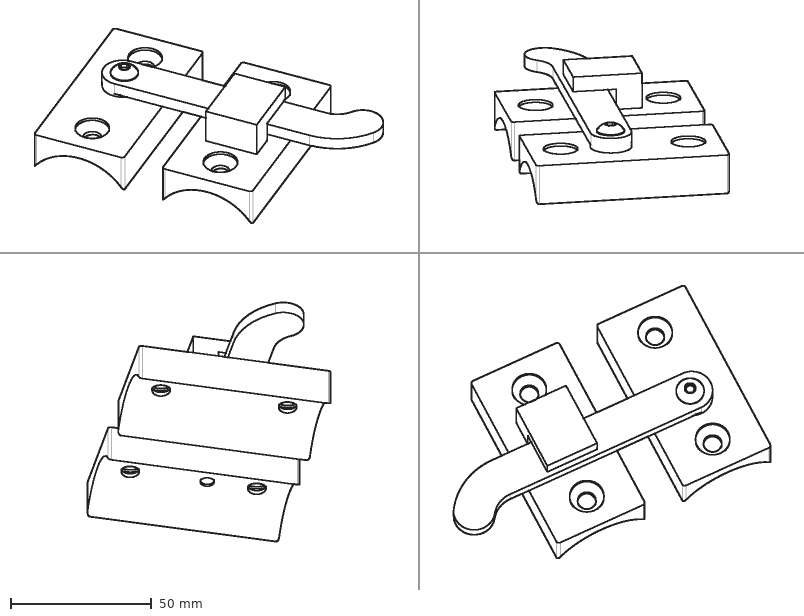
import cadquery as cq
import math

overall_length = 114.3

base_width = 35.0
base_length = 70.0
base_middle_thickness = 5.3
base_spacing = 50.0
base_corner_radius = 1.0
saddle_diameter = 42.4
saddle_radius = saddle_diameter / 2

saddle_axis_z = -math.sqrt(saddle_radius**2 - (base_width / 2) ** 2)
base_height = saddle_axis_z + saddle_radius + base_middle_thickness

mount_hole_offset = 23.1
mount_hole_diameter = 6.5
countersink_diameter = 12.2
countersink_rim_depth = 1.0
countersink_cone_depth = (countersink_diameter - mount_hole_diameter) / 2

lever_width = 14.7
lever_radius = lever_width / 2
lever_thickness = 4.5
lever_clearance = 1.0
lever_axis_y = 5.0
lever_end_x = 16.8
bend_start_x = 92.7
bend_radius = 17.3
bend_angle = math.asin((overall_length - lever_radius - bend_start_x) / bend_radius)
lever_bottom_z = base_height + lever_clearance
lever_top_z = lever_bottom_z + lever_thickness

screw_x = base_width / 2
screw_head_diameter = 10.0
screw_head_height = 2.7
screw_head_rim_height = 0.3
screw_head_flat_diameter = 4.0
screw_shank_diameter = 5.0
screw_depth_in_base = 4.6
socket_across_flats = 3.2
socket_depth = 1.4
socket_cone_depth = 0.9

catch_width = 19.8
catch_length = 24.9
catch_height = 13.0
catch_front_y = -13.6
catch_post_thickness = 9.3
catch_top_thickness = 5.5
catch_center_x = base_spacing + base_width / 2


def make_base(left_x):
    """Block with rounded upright edges, a saddle along Y and two countersunk holes."""
    center_x = left_x + base_width / 2
    block = (
        cq.Workplane("XY")
        .center(center_x, 0)
        .rect(base_width, base_length)
        .extrude(base_height)
        .edges("|Z")
        .fillet(base_corner_radius)
    )
    saddle = (
        cq.Workplane("XZ")
        .center(center_x, saddle_axis_z)
        .circle(saddle_radius)
        .extrude(base_length / 2, both=True)
    )
    base = block.cut(saddle)
    for hole_y in (-mount_hole_offset, mount_hole_offset):
        base = base.cut(make_mount_hole(center_x, hole_y))
    return base


def make_mount_hole(x, y):
    """Cutter for a through hole with a conical countersink below a short straight rim."""
    cone_top_z = base_height - countersink_rim_depth
    cone_bottom_z = cone_top_z - countersink_cone_depth
    hole_radius = mount_hole_diameter / 2
    rim_radius = countersink_diameter / 2
    profile = (
        cq.Workplane("XZ")
        .moveTo(0, 0)
        .lineTo(hole_radius, 0)
        .lineTo(hole_radius, cone_bottom_z)
        .lineTo(rim_radius, cone_top_z)
        .lineTo(rim_radius, base_height)
        .lineTo(0, base_height)
        .close()
    )
    return profile.revolve(360, (0, 0, 0), (0, 1, 0)).translate((x, y, 0))


def make_shank_hole(bottom_z, top_z):
    """Cutter for the pivot screw's shank between two heights."""
    return (
        cq.Workplane("XY", origin=(screw_x, lever_axis_y, bottom_z))
        .circle(screw_shank_diameter / 2)
        .extrude(top_z - bottom_z)
    )


def bend_point(radius, angle):
    """Point on an arc about the bend centre, at an angle turned from straight down."""
    center_y = lever_axis_y + bend_radius
    return (bend_start_x + radius * math.sin(angle), center_y - radius * math.cos(angle))


def make_lever():
    """Bar with one rounded end, a circular bend and a rounded tip; all arcs run tangent."""
    outer_radius = bend_radius + lever_radius
    inner_radius = bend_radius - lever_radius
    tip_center_x, tip_center_y = bend_point(bend_radius, bend_angle)
    tip = (
        tip_center_x + lever_radius * math.cos(bend_angle),
        tip_center_y + lever_radius * math.sin(bend_angle),
    )
    bar = (
        cq.Workplane("XY", origin=(0, 0, lever_bottom_z))
        .moveTo(lever_end_x, lever_axis_y - lever_radius)
        .lineTo(*bend_point(outer_radius, 0))
        .threePointArc(bend_point(outer_radius, bend_angle / 2), bend_point(outer_radius, bend_angle))
        .threePointArc(tip, bend_point(inner_radius, bend_angle))
        .threePointArc(bend_point(inner_radius, bend_angle / 2), bend_point(inner_radius, 0))
        .lineTo(lever_end_x, lever_axis_y + lever_radius)
        .threePointArc(
            (lever_end_x - lever_radius, lever_axis_y),
            (lever_end_x, lever_axis_y - lever_radius),
        )
        .close()
        .extrude(lever_thickness)
    )
    boss = (
        cq.Workplane("XY", origin=(lever_end_x, lever_axis_y, base_height))
        .circle(lever_radius)
        .extrude(lever_clearance + lever_thickness)
    )
    return bar.union(boss).clean().cut(make_shank_hole(base_height, lever_top_z))


def make_screw():
    """Revolved screw with a spherical dome between the head's rim and its flat top."""
    head_radius = screw_head_diameter / 2
    flat_radius = screw_head_flat_diameter / 2
    shank_radius = screw_shank_diameter / 2
    shank_end_z = -(lever_top_z - base_height + screw_depth_in_base)

    dome_center_z = (
        flat_radius**2 + screw_head_height**2 - head_radius**2 - screw_head_rim_height**2
    ) / (2 * (screw_head_height - screw_head_rim_height))
    dome_radius = math.hypot(flat_radius, screw_head_height - dome_center_z)
    dome_middle_x = (head_radius + flat_radius) / 2
    dome_middle_z = dome_center_z + math.sqrt(dome_radius**2 - dome_middle_x**2)

    body = (
        cq.Workplane("XZ")
        .moveTo(0, shank_end_z)
        .lineTo(shank_radius, shank_end_z)
        .lineTo(shank_radius, 0)
        .lineTo(head_radius, 0)
        .lineTo(head_radius, screw_head_rim_height)
        .threePointArc((dome_middle_x, dome_middle_z), (flat_radius, screw_head_height))
        .lineTo(0, screw_head_height)
        .close()
        .revolve(360, (0, 0, 0), (0, 1, 0))
    )
    socket_floor_z = screw_head_height - socket_depth
    socket = (
        cq.Workplane("XY", origin=(0, 0, socket_floor_z))
        .polygon(6, socket_across_flats, circumscribed=True)
        .extrude(socket_depth)
    )
    socket_cone = cq.Workplane(
        cq.Solid.makeCone(
            0,
            socket_across_flats / 2,
            socket_cone_depth,
            pnt=cq.Vector(0, 0, socket_floor_z - socket_cone_depth),
        )
    )
    return body.cut(socket).cut(socket_cone).translate((screw_x, lever_axis_y, lever_top_z))


def make_catch():
    """Upright post on the second base with an arm reaching over the lever toward +Y."""
    arm_bottom = catch_height - catch_top_thickness
    return (
        cq.Workplane("YZ", origin=(catch_center_x, catch_front_y, base_height))
        .moveTo(0, 0)
        .lineTo(catch_post_thickness, 0)
        .lineTo(catch_post_thickness, arm_bottom)
        .lineTo(catch_length, arm_bottom)
        .lineTo(catch_length, catch_height)
        .lineTo(0, catch_height)
        .close()
        .extrude(catch_width / 2, both=True)
    )


bases = [make_base(index * base_spacing) for index in range(2)]

bases[0] = bases[0].cut(make_shank_hole(0, base_height))

lever = make_lever()
screw = make_screw()
catch = make_catch()

result = cq.Compound.makeCompound([*[base.val() for base in bases], lever.val(), screw.val(), catch.val()])